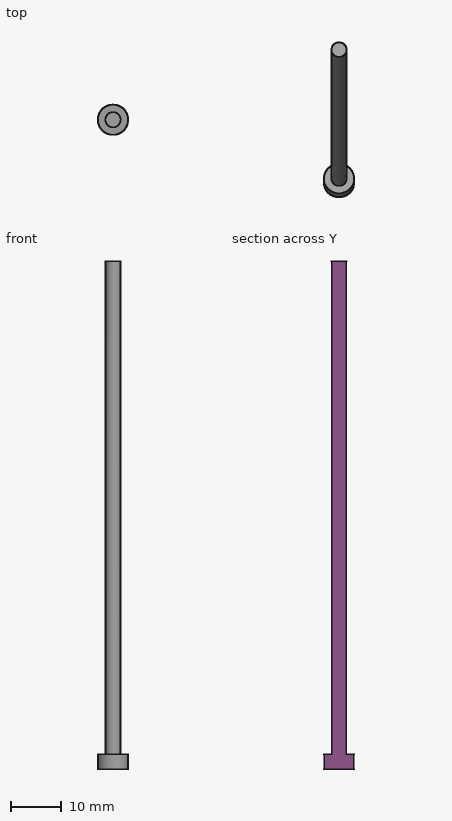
import cadquery as cq

total_length = 100.0
head_diameter = 6.0
head_height = 3.0
shank_diameter = 3.0

head = cq.Workplane("XY").circle(head_diameter / 2).extrude(head_height)
shank = cq.Workplane("XY").circle(shank_diameter / 2).extrude(total_length)

result = head.union(shank)